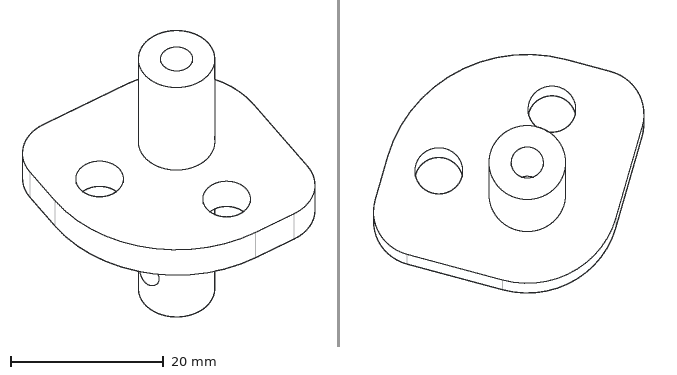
import cadquery as cq
import math

pin_length = 46.2
pin_diameter = 10.03
tip_chamfer = 1.1

bore_diameter = 4.2
bore_depth = 14.8
drill_point_angle = 118.0

cross_hole_diameter = 5.0
cross_hole_height = 8.0

plate_bottom = 25.0
plate_thickness = 5.0
small_radius = 12.0
large_radius = 19.0
corner_radius = 6.0

mount_hole_diameter = 6.25
mount_hole_offset = 12.0


def make_pin():
    pin = cq.Workplane("XY").circle(pin_diameter / 2).extrude(pin_length)
    return pin.faces("<Z").chamfer(tip_chamfer)


def make_plate():
    diagonal = math.sqrt(0.5)
    small_mid = small_radius * diagonal
    large_mid = large_radius * diagonal
    outline = (
        cq.Workplane("XY", origin=(0, 0, plate_bottom))
        .moveTo(-small_radius, 0)
        .threePointArc((-small_mid, small_mid), (0, small_radius))
        .lineTo(large_radius - corner_radius, small_radius)
        .radiusArc((large_radius, small_radius - corner_radius), corner_radius)
        .lineTo(large_radius, 0)
        .threePointArc((large_mid, -large_mid), (0, -large_radius))
        .lineTo(corner_radius - small_radius, -large_radius)
        .radiusArc((-small_radius, corner_radius - large_radius), corner_radius)
        .close()
    )
    return outline.extrude(plate_thickness)


def make_mount_holes():
    return (
        cq.Workplane("XY", origin=(0, 0, plate_bottom))
        .pushPoints([(mount_hole_offset, 0), (0, -mount_hole_offset)])
        .circle(mount_hole_diameter / 2)
        .extrude(plate_thickness)
    )


def make_bore():
    """Drilled hole with a conical bottom, as a half profile turned about Z."""
    radius = bore_diameter / 2
    shoulder = pin_length - bore_depth
    point_length = radius / math.tan(math.radians(drill_point_angle / 2))
    return (
        cq.Workplane("XZ")
        .moveTo(0, pin_length)
        .lineTo(radius, pin_length)
        .lineTo(radius, shoulder)
        .lineTo(0, shoulder - point_length)
        .close()
        .revolve(360, (0, 0, 0), (0, 1, 0))
    )


def make_cross_hole():
    return (
        cq.Workplane("XZ")
        .center(0, cross_hole_height)
        .circle(cross_hole_diameter / 2)
        .extrude(pin_diameter, both=True)
    )


result = (
    make_pin()
    .union(make_plate())
    .cut(make_mount_holes())
    .cut(make_bore())
    .cut(make_cross_hole())
)